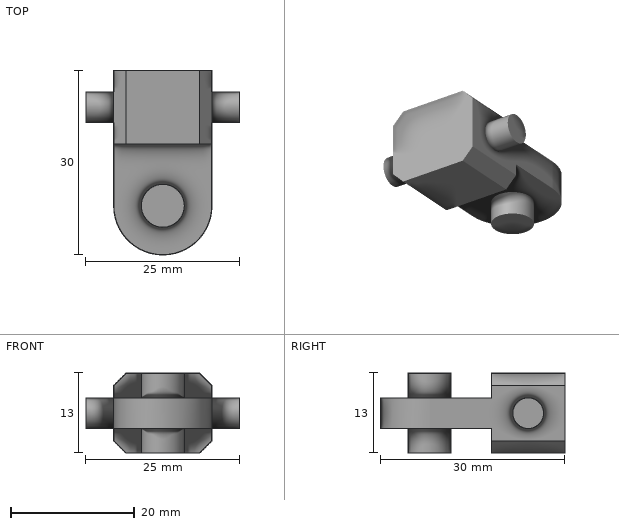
import cadquery as cq

total_length = 30.0
body_width = 16.0
body_height = 13.0
block_length = 12.0
block_chamfer = 2.0
tongue_thickness = 5.0
vertical_pin_diameter = 7.0
cross_pin_diameter = 5.0
cross_pin_length = 25.0

tongue_radius = body_width / 2
block_back = total_length - tongue_radius
block_front = block_back - block_length
block_center = (block_front + block_back) / 2


def make_block():
    """Rear block with its four lengthwise edges chamfered."""
    return (
        cq.Workplane("XY")
        .box(body_width, block_length, body_height)
        .edges("|Y")
        .chamfer(block_chamfer)
        .translate((0, block_center, 0))
    )


def make_tongue():
    """Flat tongue with a full-round end, running into the block."""
    return (
        cq.Workplane("XY")
        .moveTo(-tongue_radius, block_center)
        .lineTo(-tongue_radius, 0)
        .threePointArc((0, -tongue_radius), (tongue_radius, 0))
        .lineTo(tongue_radius, block_center)
        .close()
        .extrude(tongue_thickness / 2, both=True)
    )


def make_vertical_pin():
    """Pin through the tongue, concentric with its rounded end."""
    return (
        cq.Workplane("XY")
        .circle(vertical_pin_diameter / 2)
        .extrude(body_height / 2, both=True)
    )


def make_cross_pin():
    """Pin through the middle of the block, projecting from both sides."""
    return (
        cq.Workplane("YZ")
        .center(block_center, 0)
        .circle(cross_pin_diameter / 2)
        .extrude(cross_pin_length / 2, both=True)
    )


result = (
    make_block()
    .union(make_tongue())
    .union(make_vertical_pin())
    .union(make_cross_pin())
)